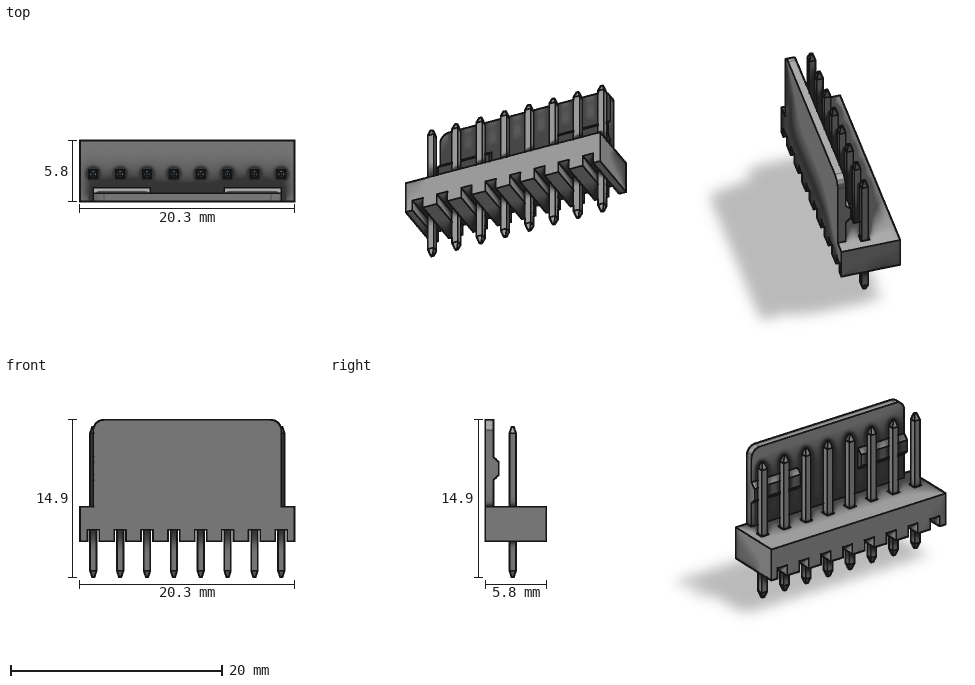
import cadquery as cq


pin_count = 8
housing_length = 20.32
pitch = housing_length / pin_count
housing_depth = 5.8
housing_height = 3.3
slot_width = 1.1
slot_height = slot_width

pin_size = pitch / 4
pin_tip_size = 0.22
pin_tip_length = 0.63
pin_y = 2.6
pin_below = 3.4
pin_above = 7.54
funnel_size = 0.83
funnel_depth = (funnel_size - pin_size) / 2

row_span = (pin_count - 1) * pitch
wall_thickness = 0.8
wall_height = 8.2
wall_corner_radius = 1.0

ridge_length = 5.38
ridge_projection = 0.5
ridge_clearance = 2.5
ridge_start = housing_height + ridge_clearance
ridge_height = 2.2

pin_positions = [(i * pitch - row_span / 2, pin_y) for i in range(pin_count)]


def block(length, depth, height, x, y, z):
    """Box centred on x, starting at y and z."""
    return cq.Workplane("XY").box(length, depth, height, centered=(True, False, False)).translate((x, y, z))


def frustum(x, y, base_z, base_size, end_size, height):
    """Square frustum tapering along Z; a negative height points it downward."""
    return (
        cq.Workplane("XY", origin=(x, y, base_z))
        .rect(base_size, base_size)
        .workplane(offset=height)
        .rect(end_size, end_size)
        .loft(ruled=True)
    )


def make_housing():
    """Base block with a slot through its underside and a funnel in its top at each pin."""
    body = block(housing_length, housing_depth, housing_height, 0, 0, 0)
    for x, y in pin_positions:
        slot = block(slot_width, housing_depth, slot_height, x, 0, 0)
        funnel = frustum(x, y, housing_height, funnel_size, pin_size, -funnel_depth)
        body = body.cut(slot).cut(funnel)
    return body


def make_wall():
    """Upright wall along the front edge with rounded upper corners."""
    wall = block(row_span, wall_thickness, wall_height, 0, 0, housing_height)
    return wall.edges("|Y and >Z").fillet(wall_corner_radius)


def make_ridge(start_x):
    """Trapezoidal ridge running in +X from start_x."""
    crest_y = wall_thickness + ridge_projection
    ridge_end = ridge_start + ridge_height
    profile = [
        (0, ridge_start),
        (wall_thickness, ridge_start),
        (crest_y, ridge_start + ridge_projection),
        (crest_y, ridge_end - ridge_projection),
        (wall_thickness, ridge_end),
        (0, ridge_end),
    ]
    return cq.Workplane("YZ", origin=(start_x, 0, 0)).polyline(profile).close().extrude(ridge_length)


def make_pin(x, y):
    """Square pin tapered at both ends."""
    shank_bottom = pin_tip_length - pin_below
    shank_top = housing_height + pin_above - pin_tip_length
    shank = block(pin_size, pin_size, shank_top - shank_bottom, x, y - pin_size / 2, shank_bottom)
    lower_tip = frustum(x, y, shank_bottom, pin_size, pin_tip_size, -pin_tip_length)
    upper_tip = frustum(x, y, shank_top, pin_size, pin_tip_size, pin_tip_length)
    return shank.union(lower_tip).union(upper_tip)


result = make_housing().union(make_wall())

for ridge_x in (-row_span / 2, row_span / 2 - ridge_length):
    result = result.union(make_ridge(ridge_x))

for pin_x, pin_center_y in pin_positions:
    result = result.union(make_pin(pin_x, pin_center_y))